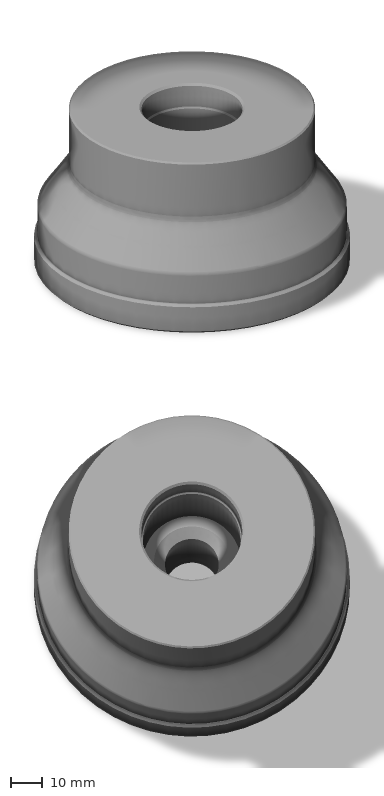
import cadquery as cq
import math

height = 55.0
base_radius = 50.0
base_height = 10.2
base_chamfer = 0.8

shoulder_radius = 49.0
neck_radius = 39.0
cone_bottom = 20.7
cone_top = 35.1
cone_bottom_fillet = 2.0
cone_top_fillet = 3.0
neck_chamfer = 0.5

mouth_radius = 16.0
mouth_chamfer = 0.7
mouth_depth = 8.0
bore_radius = 15.5
bore_depth = 30.0
bore_step = mouth_radius - bore_radius

hole_radius = 8.5
countersink_radius = 12.0
countersink_slope = 30.0
countersink_depth = (countersink_radius - hole_radius) * math.tan(math.radians(countersink_slope))


def revolve_profile(points):
    """Revolve a closed (radius, height) outline about the Z axis."""
    return cq.Workplane("XZ").polyline(points).close().revolve(360, (0, 0), (0, 1))


def round_circle(body, radius, level, fillet):
    """Round the circular edge of the given radius lying at the given level."""
    margin = 0.1
    box = cq.selectors.BoxSelector(
        (-radius - margin, -radius - margin, level - margin),
        (radius + margin, radius + margin, level + margin),
        boundingbox=True,
    )
    return body.edges(box).fillet(fillet)


def make_body():
    body = revolve_profile([
        (0, 0),
        (base_radius - base_chamfer, 0),
        (base_radius, base_chamfer),
        (base_radius, base_height - base_chamfer),
        (base_radius - base_chamfer, base_height),
        (shoulder_radius, base_height),
        (shoulder_radius, cone_bottom),
        (neck_radius, cone_top),
        (neck_radius, height - neck_chamfer),
        (neck_radius - neck_chamfer, height),
        (0, height),
    ])
    body = round_circle(body, shoulder_radius, cone_bottom, cone_bottom_fillet)
    return round_circle(body, neck_radius, cone_top, cone_top_fillet)


def make_bore():
    floor = height - bore_depth
    step = height - mouth_depth
    return revolve_profile([
        (0, 0),
        (hole_radius, 0),
        (hole_radius, floor - countersink_depth),
        (countersink_radius, floor),
        (bore_radius, floor),
        (bore_radius, step - bore_step),
        (mouth_radius, step),
        (mouth_radius, height - mouth_chamfer),
        (mouth_radius + mouth_chamfer, height),
        (0, height),
    ])


result = make_body().cut(make_bore())